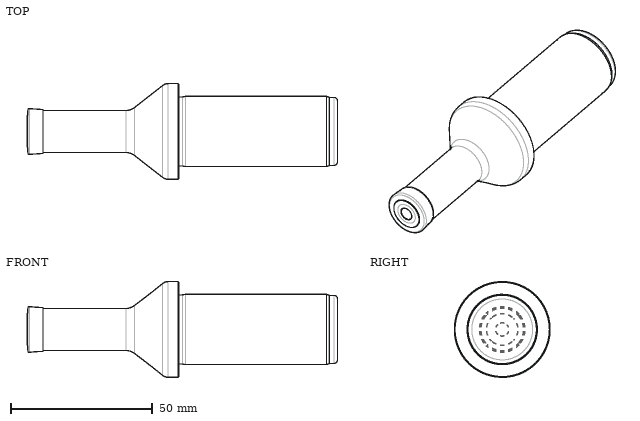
import cadquery as cq
import math

LENGTH = 110.0

TIP_LENGTH = 5.7
TIP_FRONT_RADIUS = 8.1
TIP_BACK_RADIUS = 7.8
RIM_ROUND = 0.5
FACE_DEPTH = 0.2
FACE_SLOPE_DROP = 0.1
RING_RADIUS = 5.5
RING_VALLEY_RADIUS = 3.8
CENTER_RADIUS = 2.4
CENTER_DEPTH = 0.1
RING_WALL_WIDTH = 0.16

NECK_RADIUS = 15.0 / 2
NECK_END = 35.1
NECK_BLEND = 4.8
CONE_ANGLE = math.radians(38)
FLANGE_RADIUS = 34.0 / 2
FLANGE_ROUND = 3.2
FLANGE_BACK = 53.8
FLANGE_CHAMFER = 0.3

SHANK_RADIUS = 25.0 / 2
RELIEF_RADIUS = 24.5 / 2
RELIEF_END = 55.0
SHANK_START = 56.1
SHANK_END = 106.0
SHANK_TAPER_END = 106.7
PILOT_STEP_LENGTH = 0.3
PILOT_RADIUS = 12.1
PILOT_ROUND = 1.3


def turned(profile):
    """Revolve a closed profile around the X axis."""
    return profile.close().revolve(360, (0, 0, 0), (1, 0, 0))


def arc_point(x, radius, size, angle):
    """Point on an arc of the given size that is tangent to the axis direction at (x, radius).

    A positive size rises away from that point toward +X; a negative one falls away toward -X.
    """
    return (x + size * math.sin(angle), radius + size * (1 - math.cos(angle)))


def make_tip():
    face_edge = FACE_DEPTH + FACE_SLOPE_DROP
    profile = (
        cq.Workplane("XY")
        .moveTo(CENTER_DEPTH, 0)
        .lineTo(CENTER_DEPTH, CENTER_RADIUS - RING_WALL_WIDTH)
        .lineTo(0, CENTER_RADIUS)
        .lineTo(FACE_SLOPE_DROP, RING_VALLEY_RADIUS)
        .lineTo(0, RING_RADIUS)
        .lineTo(FACE_DEPTH, RING_RADIUS + RING_WALL_WIDTH)
        .lineTo(face_edge, TIP_FRONT_RADIUS - RIM_ROUND)
        .radiusArc((face_edge + RIM_ROUND, TIP_FRONT_RADIUS), RIM_ROUND)
        .lineTo(TIP_LENGTH, TIP_BACK_RADIUS)
        .lineTo(TIP_LENGTH, 0)
    )
    return turned(profile)


def make_holder():
    half_angle = CONE_ANGLE / 2
    blend_middle = arc_point(NECK_END, NECK_RADIUS, NECK_BLEND, half_angle)
    cone_start = arc_point(NECK_END, NECK_RADIUS, NECK_BLEND, CONE_ANGLE)

    cone_end_radius = FLANGE_RADIUS - FLANGE_ROUND * (1 - math.cos(CONE_ANGLE))
    cone_end_x = cone_start[0] + (cone_end_radius - cone_start[1]) / math.tan(CONE_ANGLE)
    flange_start = cone_end_x + FLANGE_ROUND * math.sin(CONE_ANGLE)
    round_middle = arc_point(flange_start, FLANGE_RADIUS, -FLANGE_ROUND, half_angle)

    profile = (
        cq.Workplane("XY")
        .moveTo(TIP_LENGTH, 0)
        .lineTo(TIP_LENGTH, NECK_RADIUS)
        .lineTo(NECK_END, NECK_RADIUS)
        .threePointArc(blend_middle, cone_start)
        .lineTo(cone_end_x, cone_end_radius)
        .threePointArc(round_middle, (flange_start, FLANGE_RADIUS))
        .lineTo(FLANGE_BACK - FLANGE_CHAMFER, FLANGE_RADIUS)
        .lineTo(FLANGE_BACK, FLANGE_RADIUS - FLANGE_CHAMFER)
        .lineTo(FLANGE_BACK, RELIEF_RADIUS)
        .lineTo(RELIEF_END, RELIEF_RADIUS)
        .lineTo(SHANK_START, SHANK_RADIUS)
        .lineTo(SHANK_END, SHANK_RADIUS)
        .lineTo(SHANK_TAPER_END, RELIEF_RADIUS)
        .lineTo(SHANK_TAPER_END + PILOT_STEP_LENGTH, PILOT_RADIUS)
        .lineTo(LENGTH - PILOT_ROUND, PILOT_RADIUS)
        .radiusArc((LENGTH, PILOT_RADIUS - PILOT_ROUND), PILOT_ROUND)
        .lineTo(LENGTH, 0)
    )
    return turned(profile)


tip = make_tip()
holder = make_holder()

result = cq.Compound.makeCompound([tip.val(), holder.val()])